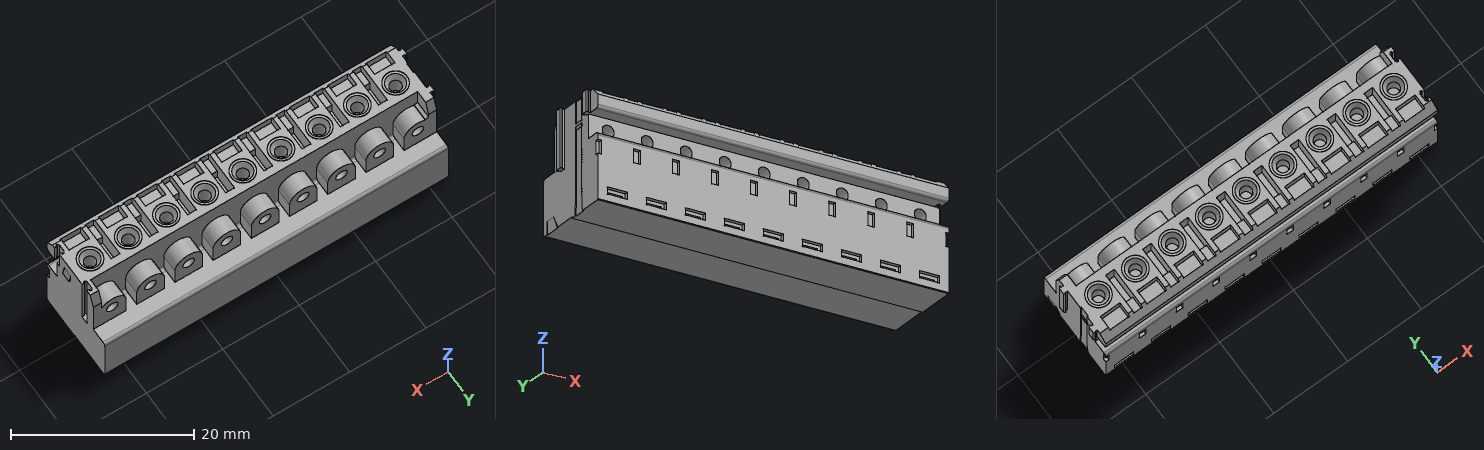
import cadquery as cq


pole_count = 9
outer_length = 45.75
tail_reach = 0.55
catch_reach = 0.25
body_length = outer_length - tail_reach - catch_reach
pole_pitch = body_length / pole_count
pole_centres = [(i + 0.5) * pole_pitch for i in range(pole_count)]
pole_borders = [i * pole_pitch for i in range(pole_count + 1)]

body_depth = 11.5
body_height = 13.9
edge_radius = 0.35
base_step_y = 5.5
base_step_height = 0.15
base_chamfer = 0.1
front_shelf_z = 8.25
front_wall_y = 1.95
overhang_z = 11.2
top_chamfer = 1.1
rear_shelf_z = 7.15
rear_wall_y = 9.2
rear_slope_z = 12.05
rear_slope_run = 0.6

end_wall = 1.1
recess_wall_y = 7.0
recess_radius = 0.45
sleeve_diameter = 3.6
sleeve_overlap = 0.35
wire_hole_diameter = 1.5
wire_axis_z = 9.7
filler_edge = 0.95
filler_outer_z = 11.52
filler_inner_z = 11.35

well_y = 4.75
well_diameter = 3.0
cone_diameter = 2.42
screw_diameter = 1.45
well_step = 0.1
cone_depth = 0.65
screw_depth = 2.3

pocket_width = 2.65
pocket_front_y = 0.82
pocket_back_y = 2.6
pocket_depth = 1.35
slot_width = 1.15
slot_back_y = 6.05
slot_depth = 2.75

key_width = 0.85
key_depth = 0.45
key_bottom_z = 5.62
key_height = 1.7
window_width = 2.55
window_height = 0.85
window_bottom_z = 0.95
window_depth = 0.5
ramp_width = 1.87
ramp_height = 0.35
ramp_bottom_z = 1.05
ramp_depth = 0.45

tail_neck_width = 0.8
tail_head_width = 1.15
tail_head_thickness = 0.25
tail_bevel_width = 0.2
tail_bevel_length = 0.15
rear_tail_y = 7.45
rear_tail_bottom_z = 6.65
front_tail_y = 1.95
groove_clearance = 0.1

latch_y = 4.05
latch_width = 1.3
latch_foot_width = 1.55
latch_foot_z = 2.3
latch_depth = 0.15
latch_upper_z = 11.1
latch_lower_z = 10.75
latch_ramp = 0.3
catch_bottom_z = 11.35
catch_top_z = 12.35

lead_height = 1.75
lead_depth = 0.1
lead_back_y = 10.65
lead_top_y = 9.3
lead_bottom_y = 8.45


def box(x0, x1, y0, y1, z0, z1):
    """Axis-aligned block between two opposite corners."""
    return cq.Workplane("XY").box(x1 - x0, y1 - y0, z1 - z0, centered=False).translate((x0, y0, z0))


def extrude_along_x(points, x0, x1):
    """Prism with a Y-Z outline, from x0 to x1."""
    return cq.Workplane("YZ", origin=(x0, 0, 0)).polyline(points).close().extrude(x1 - x0)


def round_along_y(x, diameter, y0, y1):
    """Cylinder on the wire axis of one pole."""
    plane = cq.Plane(origin=(x, y0, wire_axis_z), xDir=(1, 0, 0), normal=(0, 1, 0))
    return cq.Workplane(plane).circle(diameter / 2).extrude(y1 - y0)


def make_body():
    outline = [
        (0, base_chamfer),
        (base_chamfer, 0),
        (base_step_y, 0),
        (base_step_y, base_step_height),
        (body_depth, base_step_height),
        (body_depth, rear_shelf_z),
        (rear_wall_y, rear_shelf_z),
        (rear_wall_y, rear_slope_z),
        (rear_wall_y - rear_slope_run, body_height),
        (top_chamfer, body_height),
        (0, body_height - top_chamfer),
        (0, overhang_z),
        (front_wall_y, overhang_z),
        (front_wall_y, front_shelf_z),
        (0, front_shelf_z),
    ]
    rounded = [
        (body_depth, base_step_height),
        (body_depth, rear_shelf_z),
        (0, overhang_z),
        (0, front_shelf_z),
    ]
    body = extrude_along_x(outline, 0, body_length)
    for y, z in rounded:
        edge = cq.selectors.NearestToPointSelector((body_length / 2, y, z))
        body = body.edges("|X").edges(edge).fillet(edge_radius)
    return body


def rear_recess():
    recess = box(
        end_wall, body_length - end_wall,
        recess_wall_y, rear_wall_y,
        rear_shelf_z, body_height,
    )
    return recess.edges("|X and <Y and <Z").fillet(recess_radius)


def wire_sleeves():
    sleeves = cq.Workplane("XY")
    for x in pole_centres:
        sleeves = sleeves.union(round_along_y(x, sleeve_diameter, recess_wall_y - sleeve_overlap, rear_wall_y))
        sleeves = sleeves.union(
            box(
                x - sleeve_diameter / 2, x + sleeve_diameter / 2,
                recess_wall_y - sleeve_overlap, rear_wall_y,
                rear_shelf_z, wire_axis_z,
            )
        )
    filler = (
        cq.Workplane("XZ", origin=(0, recess_wall_y, 0))
        .moveTo(end_wall, rear_shelf_z)
        .lineTo(pole_centres[0] - filler_edge, rear_shelf_z)
        .lineTo(pole_centres[0] - filler_edge, filler_inner_z)
        .lineTo(end_wall, filler_outer_z)
        .close()
        .extrude(recess_wall_y - rear_wall_y)
    )
    return sleeves.union(filler)


def screw_well(x):
    """Stepped conical well with a blind screw hole."""
    cone_top_z = body_height - well_step
    cone_bottom_z = cone_top_z - cone_depth
    return (
        cq.Workplane("XZ", origin=(x, well_y, 0))
        .moveTo(0, body_height)
        .lineTo(well_diameter / 2, body_height)
        .lineTo(well_diameter / 2, cone_top_z)
        .lineTo(cone_diameter / 2, cone_top_z)
        .lineTo(screw_diameter / 2, cone_bottom_z)
        .lineTo(screw_diameter / 2, cone_bottom_z - screw_depth)
        .lineTo(0, cone_bottom_z - screw_depth)
        .close()
        .revolve(360, (0, 0, 0), (0, 1, 0))
    )


def top_pocket(x):
    return box(
        x - pocket_width / 2, x + pocket_width / 2,
        pocket_front_y, pocket_back_y,
        body_height - pocket_depth, body_height,
    )


def top_slot(x):
    """Slot between two poles, shallower at its front end."""
    left = x - slot_width / 2
    right = x + slot_width / 2
    front = box(left, right, pocket_front_y, pocket_back_y, body_height - pocket_depth, body_height)
    return front.union(box(left, right, pocket_back_y, slot_back_y, body_height - slot_depth, body_height))


def front_window(x):
    """Rectangular recess with a ramped slot in its back wall."""
    window = box(
        x - window_width / 2, x + window_width / 2,
        0, window_depth,
        window_bottom_z, window_bottom_z + window_height,
    )
    ramp_top_z = ramp_bottom_z + ramp_height
    ramp = [
        (window_depth, ramp_bottom_z),
        (window_depth + ramp_depth, ramp_top_z),
        (window_depth, ramp_top_z),
    ]
    return window.union(extrude_along_x(ramp, x - ramp_width / 2, x + ramp_width / 2))


def front_key(x):
    return box(
        x - key_width / 2, x + key_width / 2,
        0, key_depth,
        key_bottom_z, key_bottom_z + key_height,
    )


def dovetail(x, y, bottom_z, clearance=0.0):
    """T-shaped rail with bevelled head corners, projecting to -X from the plane at x."""
    neck = tail_neck_width / 2 + clearance
    head = tail_head_width / 2 + clearance
    tip = head - tail_bevel_width
    tip_x = x - tail_reach - clearance
    bevel_x = tip_x + tail_bevel_length
    neck_x = x - tail_reach + tail_head_thickness
    far_half = [(x, neck), (neck_x, neck), (neck_x, head), (bevel_x, head), (tip_x, tip)]
    near_half = [(px, -py) for px, py in reversed(far_half)]
    return (
        cq.Workplane("XY", origin=(0, y, bottom_z))
        .polyline(far_half + near_half)
        .close()
        .extrude(body_height - bottom_z)
    )


def latch_guide():
    """Shallow guide groove with a ramped top and a flared foot, and a notch above it."""
    near = latch_y - latch_width / 2
    far = latch_y + latch_width / 2
    groove = (
        cq.Workplane("XZ", origin=(0, far, 0))
        .moveTo(0, 0)
        .lineTo(latch_depth, 0)
        .lineTo(latch_depth, latch_lower_z - latch_ramp)
        .lineTo(0, latch_lower_z)
        .close()
        .extrude(latch_width)
    )
    foot_near = latch_y - latch_foot_width / 2
    foot_far = latch_y + latch_foot_width / 2
    foot_outline = [(foot_near, 0), (foot_far, 0), (far, latch_foot_z), (near, latch_foot_z)]
    foot = extrude_along_x(foot_outline, 0, latch_depth)
    notch = box(0, latch_depth, near, far, latch_upper_z, body_height)
    return groove.union(foot).union(notch)


def latch_catch():
    """Wedge on the +X end, widest at its bottom."""
    return (
        cq.Workplane("XZ", origin=(body_length, latch_y + latch_width / 2, 0))
        .moveTo(0, catch_bottom_z)
        .lineTo(catch_reach, catch_bottom_z)
        .lineTo(0, catch_top_z)
        .close()
        .extrude(latch_width)
    )


def end_lead_in():
    """Recess that deepens towards the bottom, with a slanted front edge."""
    region = extrude_along_x(
        [(lead_bottom_y, 0), (lead_back_y, 0), (lead_back_y, lead_height), (lead_top_y, lead_height)],
        0, lead_depth,
    )
    taper = (
        cq.Workplane("XZ", origin=(0, body_depth, 0))
        .moveTo(0, 0)
        .lineTo(lead_depth, 0)
        .lineTo(0, lead_height)
        .close()
        .extrude(body_depth)
    )
    return region.intersect(taper)


result = make_body().cut(rear_recess()).union(wire_sleeves())

for pole_x in pole_centres:
    result = result.cut(round_along_y(pole_x, wire_hole_diameter, 0, body_depth))
    result = result.cut(screw_well(pole_x))
    result = result.cut(top_pocket(pole_x))
    result = result.cut(front_window(pole_x))

for border_x in pole_borders[1:-1]:
    result = result.cut(top_slot(border_x))
for border_x in pole_borders:
    result = result.cut(front_key(border_x))

for tail_y, tail_bottom_z in [(rear_tail_y, rear_tail_bottom_z), (front_tail_y, overhang_z)]:
    result = result.union(dovetail(0, tail_y, tail_bottom_z))
    result = result.cut(dovetail(body_length, tail_y, tail_bottom_z, groove_clearance))
result = result.cut(latch_guide()).cut(end_lead_in()).union(latch_catch())